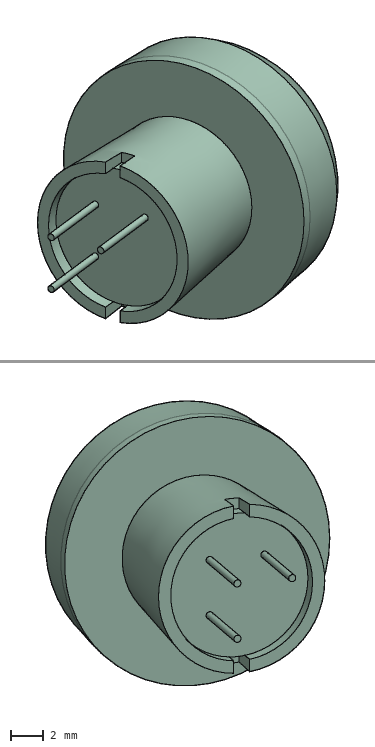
import cadquery as cq

total_length = 23.03

rim_radius = 8.7
rim_height = 0.74
dome_base_radius = 8.5
dome_base_y = 4.33
dome_tip_y = 9.93

neck_length = 8.61
neck_root_radius = 4.93
neck_end_radius = 5.45

recess_radius = 4.65
recess_depth = 0.9

notch_depth = 1.87
notch_mouth_width = 1.05
notch_floor_width = 0.95

pin_radius = 0.23
pin_pitch = 3.6

pin_tip_y = dome_tip_y - total_length
neck_end_y = -neck_length
recess_floor_y = neck_end_y + recess_depth
notch_floor_y = neck_end_y + notch_depth


def cylinder_along_y(radius, start_y, end_y, x=0, z=0):
    """Solid cylinder parallel to Y between two Y positions."""
    base = cq.Workplane("XZ", origin=(x, start_y, z))
    return base.circle(radius).extrude(start_y - end_y)


def make_body():
    """Dome, cap side and neck revolved as one profile."""
    dome_height = dome_tip_y - dome_base_y
    sphere_radius = (dome_base_radius**2 + dome_height**2) / (2 * dome_height)
    sphere_centre_y = dome_tip_y - sphere_radius
    middle_radius = dome_base_radius / 2
    middle_y = sphere_centre_y + (sphere_radius**2 - middle_radius**2) ** 0.5
    return (
        cq.Workplane("XY")
        .moveTo(0, neck_end_y)
        .lineTo(neck_end_radius, neck_end_y)
        .lineTo(neck_root_radius, 0)
        .lineTo(rim_radius, 0)
        .lineTo(rim_radius, rim_height)
        .lineTo(dome_base_radius, dome_base_y)
        .threePointArc((middle_radius, middle_y), (0, dome_tip_y))
        .close()
        .revolve(360, (0, 0, 0), (0, 1, 0))
    )


def make_notches():
    """Tapered bar across the neck, kept only outside the recess radius."""
    bar = (
        cq.Workplane("XY")
        .polyline([
            (-notch_mouth_width / 2, neck_end_y),
            (notch_mouth_width / 2, neck_end_y),
            (notch_floor_width / 2, notch_floor_y),
            (-notch_floor_width / 2, notch_floor_y),
        ])
        .close()
        .extrude(rim_radius, both=True)
    )
    return bar.cut(cylinder_along_y(recess_radius, neck_end_y, notch_floor_y))


result = make_body()
result = result.cut(cylinder_along_y(recess_radius, neck_end_y, recess_floor_y))
result = result.cut(make_notches())

for side_x, side_z in [(-1, 1), (1, 1), (-1, -1)]:
    pin = cylinder_along_y(
        pin_radius,
        pin_tip_y,
        recess_floor_y,
        x=side_x * pin_pitch / 2,
        z=side_z * pin_pitch / 2,
    )
    result = result.union(pin)